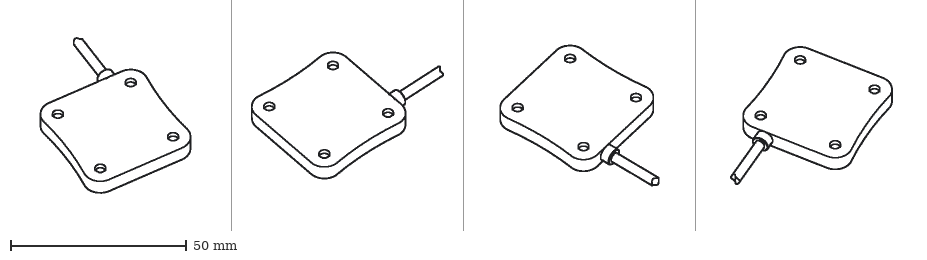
import cadquery as cq

body_size = 34.0
body_height = 5.0
corner_radius = 5.0
waist_depth = 0.8
half_size = body_size / 2
corner_center = half_size - corner_radius

hole_diameter = 3.1
counterbore_diameter = 5.5
counterbore_depth = 3.5
hole_spacing = 2 * corner_center

window_length = 4.0
window_width = 2.5
window_thickness = 1.0
window_center_x = 12.0
windows_center_y = 6.0

cable_axis_y = 8.0
gland_diameter = body_height
gland_length = 3.0
gland_chamfer = 0.2
cable_diameter = 2.9
cable_length = 18.0
cable_wave = 0.46


def make_housing():
    diagonal = corner_radius * 0.5**0.5
    corner_mid = corner_center + diagonal
    waist = half_size - waist_depth
    outline = (
        cq.Workplane("XY")
        .moveTo(-half_size, -corner_center)
        .lineTo(-half_size, corner_center)
        .threePointArc((-corner_mid, corner_mid), (-corner_center, half_size))
        .threePointArc((0, waist), (corner_center, half_size))
        .threePointArc((corner_mid, corner_mid), (half_size, corner_center))
        .lineTo(half_size, -corner_center)
        .threePointArc((corner_mid, -corner_mid), (corner_center, -half_size))
        .threePointArc((0, -waist), (-corner_center, -half_size))
        .threePointArc((-corner_mid, -corner_mid), (-half_size, -corner_center))
        .close()
    )
    return outline.extrude(body_height)


def make_corner_cylinders(diameter, height):
    """Four cylinders on the mounting hole axes, standing on the underside plane."""
    return (
        cq.Workplane("XY")
        .rect(hole_spacing, hole_spacing, forConstruction=True)
        .vertices()
        .circle(diameter / 2)
        .extrude(height)
    )


def cut_mounting_holes(housing):
    through_holes = make_corner_cylinders(hole_diameter, body_height)
    counterbores = make_corner_cylinders(counterbore_diameter, counterbore_depth)
    return housing.cut(through_holes).cut(counterbores)


def set_in_windows(housing):
    """Replace two blocks of the top by flush windows, keeping their seams on the face."""
    for side in (-1, 1):
        window = cq.Workplane("XY").box(window_length, window_width, window_thickness).translate(
            (
                window_center_x,
                windows_center_y + side * window_width / 2,
                body_height - window_thickness / 2,
            )
        )
        housing = housing.cut(window, clean=False).union(window, clean=False)
    return housing


def make_side_cylinder(diameter, length):
    """Cylinder on the cable axis, growing from the housing side toward -X."""
    return (
        cq.Workplane("YZ", origin=(-half_size, cable_axis_y, body_height / 2))
        .circle(diameter / 2)
        .extrude(-length)
    )


def make_gland():
    return make_side_cylinder(gland_diameter, gland_length).faces("<X").chamfer(gland_chamfer)


def make_cable():
    """Cable whose broken end is an S curve: hollow on the +Y half, bulging on the -Y half."""
    cable_radius = cable_diameter / 2
    end_x = -half_size - cable_length
    low_y = cable_axis_y - cable_radius
    high_y = cable_axis_y + cable_radius
    wave_profile = (
        cq.Workplane("XY")
        .moveTo(-half_size, low_y)
        .lineTo(end_x, low_y)
        .threePointArc((end_x - cable_wave, cable_axis_y - cable_radius / 2), (end_x, cable_axis_y))
        .threePointArc((end_x + cable_wave, cable_axis_y + cable_radius / 2), (end_x, high_y))
        .lineTo(-half_size, high_y)
        .close()
        .extrude(body_height)
    )
    return make_side_cylinder(cable_diameter, cable_length + cable_wave).intersect(wave_profile)


housing = cut_mounting_holes(make_housing())
result = set_in_windows(housing.union(make_gland()).union(make_cable()))